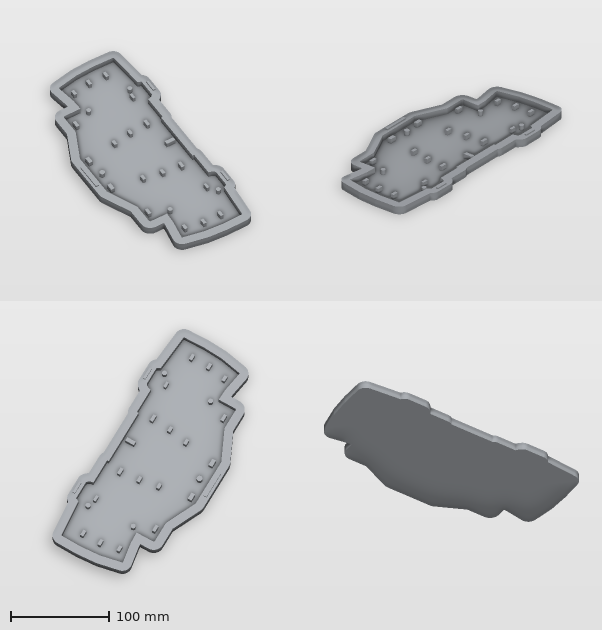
import cadquery as cq

total_height = 10.5
key_height = 1.5
rim_height = total_height - key_height
floor_thickness = 2.0
post_height = 5.5

tray_length = 268.7
wall_thickness = 9.1
pocket_half_width = tray_length / 2 - wall_thickness
pocket_front = -54.0
nose_shoulder = -38.5
pocket_back = 45.7
shoulder_back = 47.5
ear_back = 54.3
notch_x = 83.5
step_x = 30.4

front_corner = (26.0, pocket_front)
nose_corner = (notch_x, nose_shoulder)
wing_corner = (119.0, -22.0)
back_corner = (124.7, 47.0)
half_outline = [
    front_corner,
    (59.7, nose_shoulder),
    nose_corner,
    (notch_x, -17.7),
    (96.2, -18.3),
    wing_corner,
    (124.0, 2.5),
    (pocket_half_width, 23.6),
    back_corner,
    (83.8, 50.5),
    (82.0, ear_back),
    (61.8, ear_back),
]
ear_round_middle = (59.7, 51.9)
ear_round_end = (58.5, shoulder_back)
corner_radii = {front_corner: 2.1, nose_corner: 1.3, wing_corner: 0.8, back_corner: 0.8}

paired_posts = [
    (110.7, 29.3, 6.7, 3.5),
    (110.7, 9.1, 6.7, 3.5),
    (107.0, -11.0, 6.2, 3.5),
    (71.5, 37.0, 6.5, 3.0),
    (33.3, 30.4, 7.5, 3.5),
    (31.5, 9.1, 6.2, 3.5),
    (27.7, -11.8, 6.2, 3.5),
    (69.5, -31.7, 7.5, 3.5),
    (21.2, -46.2, 7.8, 4.3),
]
centre_post = (0, 37.5, 4.3, 10.2)

pin_diameter = 5.0
pin_places = [(-82.0, 40.3), (81.7, 45.0), (-78.7, -11.0), (78.7, -11.0)]
front_pin_diameter = 6.0
front_pin_place = (0, -43.5)

ear_key = (71.7, 59.0, 13.5, 2.7)
front_key = (0, -58.5, 30.0, 3.5)


def mirrored(place):
    """The same place on the other side of the YZ plane; any sizes after x and y are kept."""
    return (-place[0], *place[1:])


def pocket_prism(height):
    """Prism with the symmetric pocket outline, standing on the XY plane."""
    outline = cq.Workplane("XY").polyline([mirrored(half_outline[0]), *half_outline])
    outline = outline.threePointArc(ear_round_middle, ear_round_end)
    outline = outline.lineTo(step_x, shoulder_back).lineTo(step_x, pocket_back)
    outline = outline.lineTo(-step_x, pocket_back).lineTo(-step_x, shoulder_back)
    outline = outline.lineTo(*mirrored(ear_round_end))
    outline = outline.threePointArc(mirrored(ear_round_middle), mirrored(half_outline[-1]))
    for point in reversed(half_outline[:-1]):
        outline = outline.lineTo(*mirrored(point))
    prism = outline.close().extrude(height)
    for corner, radius in corner_radii.items():
        for x, y in (corner, mirrored(corner)):
            nearest_edge = cq.selectors.NearestToPointSelector((x, y, height / 2))
            prism = prism.edges("|Z").edges(nearest_edge).fillet(radius)
    return prism


def tray():
    """Flat tray: the pocket outline grown by the wall thickness, minus the pocket above the floor."""
    pocket = pocket_prism(rim_height)
    pocket_wire = pocket.faces("<Z").wires().val()
    body = cq.Workplane("XY").add(pocket_wire).toPending().offset2D(wall_thickness, "arc").extrude(rim_height)
    return body.cut(pocket.translate((0, 0, floor_thickness)))


def block(place, bottom, height):
    x, y, length, width = place
    upright = cq.Workplane("XY").box(length, width, height, centered=(True, True, False))
    return upright.translate((x, y, bottom))


def pin(place, diameter):
    upright = cq.Workplane("XY").circle(diameter / 2).extrude(post_height)
    return upright.translate((*place, floor_thickness))


result = tray()

posts = paired_posts + [mirrored(post) for post in paired_posts] + [centre_post]
for post in posts:
    result = result.union(block(post, floor_thickness, post_height))

for place in pin_places:
    result = result.union(pin(place, pin_diameter))
result = result.union(pin(front_pin_place, front_pin_diameter))

for key in (ear_key, mirrored(ear_key), front_key):
    result = result.union(block(key, rim_height, key_height))